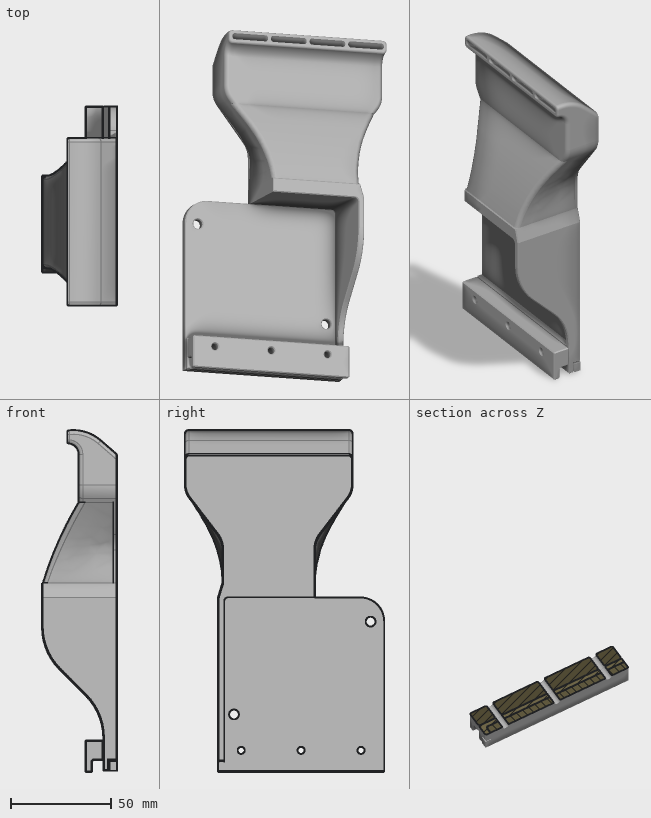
import cadquery as cq
import math


top = 171.0
rear = 37.6
edge_break = 0.5

head_width = 84.0
head_front = 18.3
head_bottom = 134.7
head_rear_top = 158.7
top_arc_radius = 21.0
top_slope = 41.0
tip_front = 12.7
tip_bottom = 164.1
lip_radius = 5.3
shoulder_corner = 139.9
shoulder_tangent = 3.8
head_rounding = 2.0
tip_rounding = 1.0

slot_count = 4
slot_pitch = 20.5
slot_length = 19.0
slot_height = 3.0
slot_z = 167.7
slot_tilt = 30.0
slot_depth = 6.8
slot_lead = 1.7

neck_side = 18.8
neck_bottom = 94.5
neck_bulge = 1.2
neck_front_corner = 103.0
neck_front_tangent = 8.2
neck_rear_corner = 115.4
neck_rear_tangent = 4.3
flange_front = 35.7

body_bottom = 87.4
wall_outer = 16.5
wall_inner = 19.7
far_end = 99.7
curve_radius = 30.0
curve_corner = 60.2
foot_front = 30.6
foot_back = 33.5
foot_bottom = 0.7
foot_top = 16.0
rabbet_top = 6.0
recess_radius = 2.0

tab_gap = 0.5
plate_far_radius = 12.0
plate_hole = 4.8
plate_hole_spots = [(92.8, 75.2), (24.6, 28.9)]

bar_front = 21.7
bar_lip_back = 25.1
bar_notch_top = 6.0

screw_hole = 3.5
screw_count = 3
screw_pitch = 30.0
screw_z = 11.0

shoulder_y = neck_side * (shoulder_corner - head_bottom) / (shoulder_corner - neck_rear_corner)


def side_sketch(x):
    """Workplane at x with local axes Y and Z, extruding towards +X."""
    return cq.Workplane("YZ", origin=(x, 0, 0))


def profile_sketch(y):
    """Workplane at y with local axes X and Z, extruding towards -Y."""
    return cq.Workplane("XZ", origin=(0, y, 0))


def block(x_range, y_range, z_range):
    sizes = [end - start for start, end in (x_range, y_range, z_range)]
    corner = (x_range[0], y_range[0], z_range[0])
    return cq.Workplane("XY").box(*sizes, centered=False).translate(corner)


def within(x_range, y_range, z_range):
    """Selector for the edges that lie wholly inside a box, with a little slack."""
    slack = 0.09
    low = [start - slack for start, _ in (x_range, y_range, z_range)]
    high = [end + slack for _, end in (x_range, y_range, z_range)]
    return cq.selectors.BoxSelector(low, high, boundingbox=True)


def direction(start, end):
    run = math.dist(start, end)
    return ((end[0] - start[0]) / run, (end[1] - start[1]) / run)


def corner_arc(corner, way_in, way_out, tangent):
    """Start, middle and end of the arc that rounds a corner between two unit directions."""
    half_turn = math.acos(way_in[0] * way_out[0] + way_in[1] * way_out[1]) / 2
    radius = tangent / math.tan(half_turn)
    offset = radius / math.cos(half_turn) - radius
    inward = direction(way_in, way_out)
    start = (corner[0] - tangent * way_in[0], corner[1] - tangent * way_in[1])
    middle = (corner[0] + offset * inward[0], corner[1] + offset * inward[1])
    end = (corner[0] + tangent * way_out[0], corner[1] + tangent * way_out[1])
    return start, middle, end


def symmetric_outline(sketch, first, arc, last):
    """Closed outline: a line, an arc and a line down one side, mirrored to the other side of the head."""
    def mirrored(point):
        return (head_width - point[0], point[1])

    start, middle, end = arc
    return (
        sketch.moveTo(*first)
        .lineTo(*start)
        .threePointArc(middle, end)
        .lineTo(*last)
        .lineTo(*mirrored(last))
        .lineTo(*mirrored(end))
        .threePointArc(mirrored(middle), mirrored(start))
        .lineTo(*mirrored(first))
        .close()
    )


def screw_holes():
    middle = (wall_outer + far_end) / 2
    first = middle - (screw_count - 1) / 2 * screw_pitch
    spots = [(first + i * screw_pitch, screw_z) for i in range(screw_count)]
    return side_sketch(0).pushPoints(spots).circle(screw_hole / 2).extrude(rear)


def head():
    """Hooked profile, trimmed to the shoulder outline."""
    slope = math.radians(top_slope)
    slope_z = top - top_arc_radius * (1 - math.cos(slope))
    slope_x = rear - (slope_z - head_rear_top) / math.tan(slope)
    arc_x = slope_x - top_arc_radius * math.sin(slope)
    tip_top = top - top_arc_radius + math.sqrt(top_arc_radius**2 - (arc_x - tip_front) ** 2)
    lip_inset = lip_radius * (1 - math.sqrt(0.5))
    profile = (
        profile_sketch(head_width)
        .moveTo(rear, head_bottom)
        .lineTo(rear, head_rear_top)
        .lineTo(slope_x, slope_z)
        .threePointArc((arc_x, top), (tip_front, tip_top))
        .lineTo(tip_front, tip_bottom)
        .lineTo(head_front - lip_radius, tip_bottom)
        .threePointArc((head_front - lip_inset, tip_bottom - lip_inset), (head_front, tip_bottom - lip_radius))
        .lineTo(head_front, head_bottom)
        .close()
        .extrude(head_width)
    )
    corner = (0, shoulder_corner)
    shoulder = (shoulder_y, head_bottom)
    arc = corner_arc(corner, (0, -1), direction(corner, shoulder), shoulder_tangent)
    outline = symmetric_outline(side_sketch(0), (0, top), arc, shoulder).extrude(rear)
    return profile.intersect(outline)


def neck_side_line(corner_z, tangent):
    """Shoulder point, corner arc and foot point of one side of the neck."""
    shoulder = (shoulder_y, head_bottom)
    corner = (neck_side, corner_z)
    arc = corner_arc(corner, direction(shoulder, corner), (0, -1), tangent)
    return shoulder, arc, (neck_side, neck_bottom)


def smooth_neck_outline(sketch, corner_z, tangent):
    """Neck outline with each side as one smooth curve."""
    shoulder, (start, middle, _), foot = neck_side_line(corner_z, tangent)
    way_in = direction(shoulder, start)
    near = [shoulder, start, middle, foot]
    far = [(head_width - y, z) for y, z in reversed(near)]
    return (
        sketch.moveTo(*shoulder)
        .spline(near[1:], tangents=[way_in, (0, -1)], includeCurrent=True)
        .lineTo(*far[0])
        .spline(far[1:], tangents=[(0, 1), (way_in[0], -way_in[1])], includeCurrent=True)
        .close()
    )


def neck_front():
    """Twisted sides, trimmed to the bowed front."""
    sides = smooth_neck_outline(side_sketch(0), neck_front_corner, neck_front_tangent)
    sides = sides.workplane(offset=flange_front)
    sides = smooth_neck_outline(sides, neck_rear_corner, neck_rear_tangent)
    bow_middle = (head_front / 2 - neck_bulge, (head_bottom + neck_bottom) / 2)
    profile = (
        profile_sketch(head_width)
        .moveTo(rear, head_bottom)
        .lineTo(head_front, head_bottom)
        .threePointArc(bow_middle, (edge_break, neck_bottom))
        .lineTo(rear, neck_bottom)
        .close()
        .extrude(head_width)
    )
    return sides.loft(ruled=True).intersect(profile)


def neck_flange():
    shoulder, arc, foot = neck_side_line(neck_rear_corner, neck_rear_tangent)
    return symmetric_outline(side_sketch(flange_front), shoulder, arc, foot).extrude(rear - flange_front)


def round_front_outline(shape):
    """Round the edges between the front and top of a shape and its two sides."""
    middle = head_width / 2
    for side in ((0, middle), (middle, head_width)):
        front_line = within((0, head_front), side, (neck_bottom, top))
        top_line = within((tip_front, rear), side, (head_rear_top, top))
        tip_line = within((tip_front, tip_front), side, (tip_bottom, top))
        shape = shape.edges(front_line + top_line - tip_line).fillet(head_rounding)
    return shape


def rounded_head_and_neck():
    upper = round_front_outline(head()).faces("<X").edges().fillet(tip_rounding)
    return upper.union(round_front_outline(neck_front())).union(neck_flange())


def lip_slots():
    """Row of round-ended slots that fall towards the rear."""
    middle = head_width / 2
    first = -(slot_count - 1) / 2 * slot_pitch
    tilt = math.radians(slot_tilt)
    return (
        cq.Workplane(cq.Plane(
            origin=(tip_front - slot_lead, middle, slot_z + slot_lead * math.tan(tilt)),
            xDir=(0, 1, 0),
            normal=(math.cos(tilt), 0, -math.sin(tilt)),
        ))
        .pushPoints([(first + i * slot_pitch, 0) for i in range(slot_count)])
        .slot2D(slot_length, slot_height * math.cos(tilt))
        .extrude(slot_lead + slot_depth)
    )


def body():
    """Block below the neck, S-curved side wall and foot, with chamfered front and side outlines."""
    base = (
        side_sketch(0)
        .moveTo(wall_outer, body_bottom)
        .lineTo(neck_side, neck_bottom)
        .lineTo(head_width - neck_side, neck_bottom)
        .lineTo(head_width - neck_side, body_bottom)
        .close()
        .extrude(rear)
    )
    diagonal = (math.sqrt(0.5), -math.sqrt(0.5))
    tangent = curve_radius * math.tan(math.radians(45) / 2)
    upper = corner_arc((0, curve_corner), (0, -1), diagonal, tangent)
    lower = corner_arc((foot_front, curve_corner - foot_front), diagonal, (0, -1), tangent)
    wall = (
        profile_sketch(wall_inner)
        .moveTo(0, body_bottom)
        .lineTo(*upper[0])
        .threePointArc(*upper[1:])
        .lineTo(*lower[0])
        .threePointArc(*lower[1:])
        .lineTo(foot_front, foot_bottom)
        .lineTo(foot_back, foot_bottom)
        .lineTo(foot_back, rabbet_top)
        .lineTo(rear, rabbet_top)
        .lineTo(rear, body_bottom)
        .close()
        .extrude(wall_inner - wall_outer)
    )
    foot = block((foot_front, foot_back), (wall_outer, far_end), (foot_bottom, foot_top))
    recess_corner = within((0, rear), (wall_inner, wall_inner), (body_bottom, body_bottom))
    whole = base.union(wall).union(foot).edges(recess_corner).fillet(recess_radius)

    all_y = (0, far_end)
    front_skin = within((0, foot_front), all_y, (0, neck_bottom))
    near_side = within((0, rear), (wall_outer, wall_outer), (0, body_bottom))
    curved_part = within((0, foot_front), all_y, (foot_top, curve_corner + curve_radius))
    across_curve = cq.selectors.AndSelector(cq.selectors.StringSyntaxSelector("|Y"), curved_part)
    slant_line = within((0, rear), (wall_outer, wall_outer), (body_bottom, body_bottom))
    rear_line = within((rear, rear), all_y, (0, neck_bottom))
    broken = front_skin + near_side - across_curve - slant_line - rear_line
    return whole.edges(broken).chamfer(edge_break)


def make_handle():
    whole = rounded_head_and_neck().union(body())
    all_edges = within((0, rear), (0, far_end), (rabbet_top + edge_break, top))
    recess_mouth = within((rear, rear), (wall_inner, far_end), (0, body_bottom))
    whole = whole.faces(">X").edges(all_edges - recess_mouth).chamfer(edge_break)
    return whole.cut(lip_slots()).cut(screw_holes())


def make_back_plate():
    thickness = (foot_back, rear)
    plate = block(thickness, (wall_inner, far_end), (foot_bottom, body_bottom))
    plate = plate.edges("|X and >Y and >Z").fillet(plate_far_radius)
    plate = plate.edges("|X and <Y and >Z").fillet(recess_radius)
    tab = block(thickness, (wall_outer, far_end), (foot_bottom, rabbet_top - tab_gap))
    holes = side_sketch(0).pushPoints(plate_hole_spots).circle(plate_hole / 2).extrude(rear)
    plate = plate.union(tab).cut(holes)
    return plate.faces("<X").edges().chamfer(edge_break).cut(screw_holes())


def make_clamp_bar():
    length = (wall_outer, far_end)
    bar = block((bar_front, foot_front), length, (0, foot_top))
    notch = block((bar_lip_back, foot_front), length, (0, bar_notch_top))
    return bar.cut(notch).cut(screw_holes()).edges().chamfer(edge_break)


handle = make_handle()
back_plate = make_back_plate()
clamp_bar = make_clamp_bar()

result = cq.Compound.makeCompound([handle.val(), back_plate.val(), clamp_bar.val()])